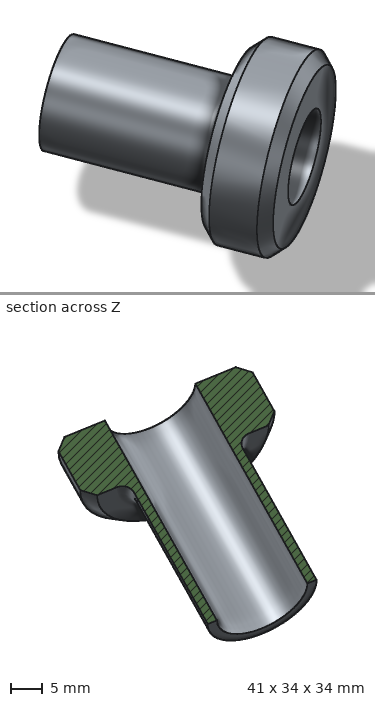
import cadquery as cq

total_length = 41.0
head_diameter = 34.0
head_length = 12.0
head_chamfer = 2.0

tube_diameter = 19.05
bore_diameter = 15.75
root_fillet = 2.0

tube_length = total_length - head_length
tube_radius = tube_diameter / 2
head_radius = head_diameter / 2
head_face_radius = head_radius - head_chamfer

half_section = (
    cq.Workplane("XY")
    .lineTo(0, tube_radius)
    .lineTo(tube_length - root_fillet, tube_radius)
    .radiusArc((tube_length, tube_radius + root_fillet), -root_fillet)
    .lineTo(tube_length, head_face_radius)
    .lineTo(tube_length + head_chamfer, head_radius)
    .lineTo(total_length - head_chamfer, head_radius)
    .lineTo(total_length, head_face_radius)
    .lineTo(total_length, 0)
    .close()
)
body = half_section.revolve(360, (0, 0, 0), (1, 0, 0))

bore = cq.Workplane("YZ").circle(bore_diameter / 2).extrude(total_length)
result = body.cut(bore)